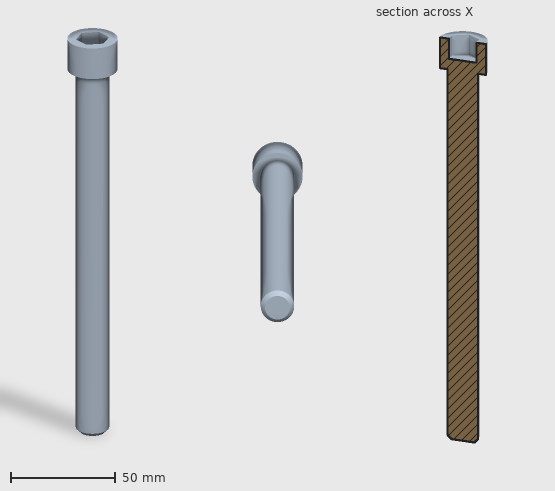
import cadquery as cq
import math

total_length = 206.0
head_diameter = 24.0
head_height = 16.0
shank_diameter = 16.0
shank_length = total_length - head_height

socket_across_flats = 14.0
socket_across_corners = socket_across_flats / math.cos(math.pi / 6)
socket_depth = 10.3

tip_chamfer = 2.0


def make_shank():
    shank = cq.Workplane("XY").circle(shank_diameter / 2).extrude(shank_length)
    return shank.faces("<Z").chamfer(tip_chamfer)


def make_head():
    head = cq.Workplane("XY").workplane(offset=shank_length)
    return head.circle(head_diameter / 2).extrude(head_height)


def make_socket():
    socket = cq.Workplane("XY").workplane(offset=total_length)
    return socket.polygon(6, socket_across_corners).extrude(-socket_depth)


result = make_shank().union(make_head()).cut(make_socket())